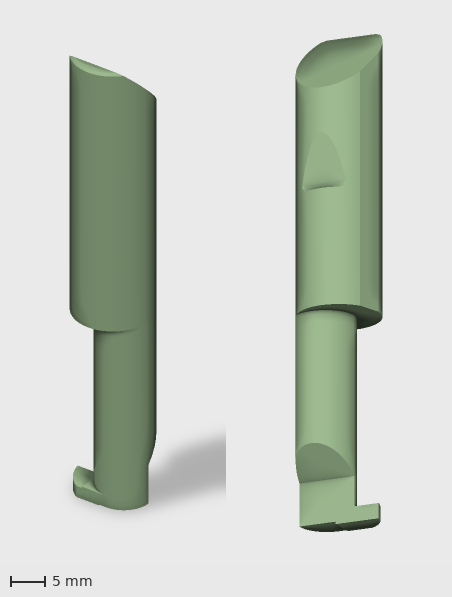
import cadquery as cq
import math

length = 76.2
shank_diameter = 12.7
shank_radius = shank_diameter / 2
shank_bottom = 31.8
flat_end_y = 3.8
top_land_y = -4.5
top_chamfer = 0.4

notch_top = 58.4
notch_bottom = 49.8
notch_floor_y = 5.25
notch_corner = 0.9

neck_radius = 4.4
neck_x = shank_radius - neck_radius
neck_bottom = 0.4
neck_back_radius = 4.95
neck_cut_bottom = 7.0

head_height = 2.4
head_corner_x = -3.4
head_bulge = 0.6
tip_relief = 0.2
tip_bottom_end_x = 0.5

cut_span = 4 * shank_radius


def side_prism(profile):
    """Extrude a closed (y, z) profile symmetrically along X."""
    return profile.close().extrude(cut_span / 2, both=True)


def make_shank():
    body = cq.Workplane("XY").workplane(offset=shank_bottom).circle(shank_radius)
    body = body.extrude(length - shank_bottom).faces(">Z").edges().chamfer(top_chamfer)

    flat_end_x = -math.sqrt(shank_radius**2 - flat_end_y**2)
    side_flat = (
        cq.Workplane("XY")
        .moveTo(-shank_radius, 0)
        .lineTo(flat_end_x, flat_end_y)
        .lineTo(-cut_span, flat_end_y)
        .lineTo(-cut_span, 0)
        .close()
        .extrude(length)
    )
    slope_run = cut_span / 2
    end_slope = side_prism(
        cq.Workplane("YZ")
        .moveTo(top_land_y, length)
        .lineTo(top_land_y + slope_run, length - slope_run)
        .lineTo(top_land_y + slope_run, length)
    )
    notch = side_prism(
        cq.Workplane("YZ")
        .moveTo(shank_radius, notch_top)
        .lineTo(notch_floor_y, notch_bottom + notch_corner)
        .radiusArc((notch_floor_y + notch_corner, notch_bottom), -notch_corner)
        .lineTo(shank_radius, notch_bottom)
    )
    return body.cut(side_flat).cut(end_slope).cut(notch)


def make_neck():
    """Offset neck with a round front and a flatter back, halved at its lower end."""
    neck_height = shank_bottom - neck_bottom
    base = cq.Workplane("XY", origin=(neck_x, 0, neck_bottom))
    front_half = cq.Workplane("XY").box(
        cut_span, cut_span, length, centered=(True, False, False)
    ).translate((0, -cut_span, 0))
    front = base.circle(neck_radius).extrude(neck_height).intersect(front_half)

    back_y = neck_radius - neck_back_radius
    back_x = neck_x - neck_radius + math.sqrt(neck_back_radius**2 - back_y**2)
    back = cq.Workplane("XY", origin=(back_x, back_y, neck_bottom))
    back = back.circle(neck_back_radius).extrude(neck_height).cut(front_half)
    shank_envelope = cq.Workplane("XY").circle(shank_radius).extrude(length)
    neck = front.union(back.intersect(shank_envelope))
    runout = side_prism(
        cq.Workplane("YZ")
        .lineTo(0, neck_cut_bottom)
        .lineTo(cut_span, neck_cut_bottom + cut_span)
        .lineTo(cut_span, 0)
    )
    return neck.cut(runout)


def head_outline():
    """Plan of the head, with a bowed end from the cutting edge to the front corner."""
    end_dx = head_corner_x + shank_radius
    end_length = math.hypot(end_dx, neck_radius)
    bow_x = (head_corner_x - shank_radius) / 2 - head_bulge * neck_radius / end_length
    bow_y = -neck_radius / 2 - head_bulge * end_dx / end_length
    return (
        cq.Workplane("XY")
        .moveTo(-shank_radius, 0)
        .threePointArc((bow_x, bow_y), (head_corner_x, -neck_radius))
        .lineTo(neck_x, -neck_radius)
        .lineTo(neck_x, 0)
        .close()
    )


def make_head():
    head = head_outline().extrude(head_height)

    neck_left_x = neck_x - neck_radius
    top_relief = (
        cq.Workplane("YZ")
        .moveTo(0, head_height)
        .lineTo(-neck_radius, head_height - tip_relief)
        .lineTo(-neck_radius, head_height)
        .close()
        .extrude(cut_span, both=True)
    )
    relieved_plan = (
        cq.Workplane("XY")
        .moveTo(-cut_span, 0)
        .lineTo(neck_left_x, 0)
        .lineTo(neck_left_x, -neck_radius)
        .lineTo(-cut_span, -neck_radius)
        .close()
        .extrude(head_height)
    )
    bottom_relief = side_prism(
        cq.Workplane("YZ").lineTo(-neck_radius, tip_relief).lineTo(-neck_radius, 0)
    )
    neck_clearance = cq.Workplane("XY", origin=(tip_bottom_end_x, 0, 0)).box(
        cut_span, cut_span, neck_bottom, centered=(False, True, False)
    )
    head = head.cut(top_relief.intersect(relieved_plan))
    return head.cut(bottom_relief).cut(neck_clearance)


result = make_shank().union(make_neck()).union(make_head())